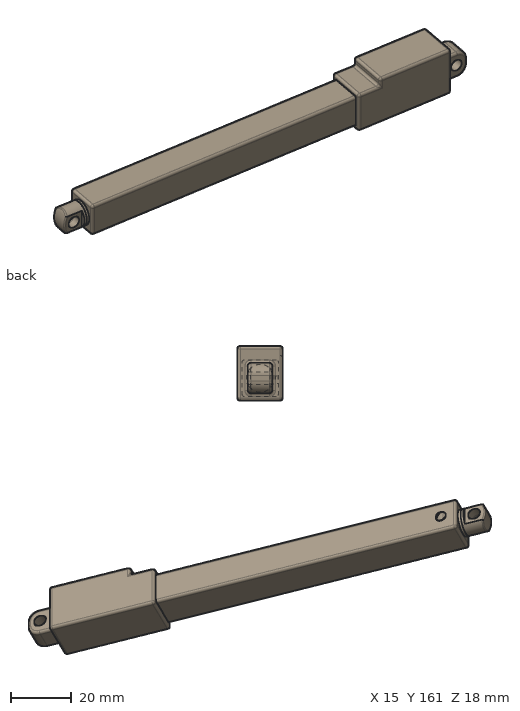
import cadquery as cq


TOTAL_LENGTH = 161.0
TUBE_FRONT = 9.0
CASE_FRONT = 115.0
STEP_Y = 123.5
CASE_BACK = 152.1

CASE_WIDTH = 15.0
CASE_HEIGHT = 18.0
CASE_BOTTOM = -CASE_WIDTH / 2
STEP_TOP = CASE_WIDTH / 2
TUBE_SIZE = 12.0
EDGE_RADIUS = 1.0

SIDE_HOLE_Y = 14.5
SIDE_HOLE_DIAMETER = 3.5
SIDE_HOLE_DEPTH = 0.2
SIDE_HOLE_FLAT_END = 13.8
SIDE_HOLE_FLOOR_RADIUS = 3.9

COLLAR_LENGTH = 1.0

LUG_WIDTH = 8.0
LUG_HEIGHT = 10.0
LUG_CORNER_RADIUS = 4.0
LUG_EDGE_RADIUS = 1.0
LUG_BASE_RADIUS = 1.0
LUG_HOLE_Y = TOTAL_LENGTH - 4.3

ROD_DIAMETER = 9.2
ROD_FLAT_WIDTH = 6.3
ROD_FLAT_LENGTH = 7.1
ROD_TIP_RADIUS = 8.0
ROD_TIP_EDGE_RADIUS = 0.5
ROD_HOLE_Y = 3.9
ROD_LENGTH = TUBE_FRONT - COLLAR_LENGTH
PIN_HOLE_DIAMETER = 4.2


def box_between(width, y_start, y_end, z_bottom, z_top):
    """Box centred on X = 0 between the given Y and Z limits."""
    return (
        cq.Workplane("XY")
        .box(width, y_end - y_start, z_top - z_bottom, centered=(True, False, False))
        .translate((0, y_start, z_bottom))
    )


def cross_hole(y, diameter):
    """Cutter along X, through the full width, crossing the rod axis at the given Y."""
    return (
        cq.Workplane("YZ")
        .center(y, 0)
        .circle(diameter / 2)
        .extrude(CASE_WIDTH / 2, both=True)
    )


def make_case():
    """Gear case, lower at the tube end, with every edge rounded."""
    profile = [
        (CASE_FRONT, CASE_BOTTOM),
        (CASE_BACK, CASE_BOTTOM),
        (CASE_BACK, CASE_BOTTOM + CASE_HEIGHT),
        (STEP_Y, CASE_BOTTOM + CASE_HEIGHT),
        (STEP_Y, STEP_TOP),
        (CASE_FRONT, STEP_TOP),
    ]
    case = cq.Workplane("YZ").polyline(profile).close().extrude(CASE_WIDTH / 2, both=True)
    step_corner = cq.selectors.BoxSelector(
        (-CASE_WIDTH, STEP_Y - EDGE_RADIUS, STEP_TOP - EDGE_RADIUS),
        (CASE_WIDTH, STEP_Y + EDGE_RADIUS, STEP_TOP + EDGE_RADIUS),
    )
    outer_edges = cq.selectors.SubtractSelector(cq.selectors.Selector(), step_corner)
    case = case.edges(outer_edges).fillet(EDGE_RADIUS)
    return case.edges(step_corner).edges("|X").fillet(EDGE_RADIUS)


def make_tube():
    """Square tube with rounded long edges and a rounded front rim."""
    half = TUBE_SIZE / 2
    tube = box_between(TUBE_SIZE, TUBE_FRONT, CASE_FRONT + EDGE_RADIUS, -half, half)
    return tube.edges("|Y or <Y").fillet(EDGE_RADIUS)


def make_lug():
    """Rounded rear lug."""
    half = LUG_HEIGHT / 2
    lug = box_between(LUG_WIDTH, CASE_BACK - EDGE_RADIUS, TOTAL_LENGTH, -half, half)
    lug = lug.edges("|X and >Y").fillet(LUG_CORNER_RADIUS)
    return lug.faces("<X or >X").edges("not <Y").fillet(LUG_EDGE_RADIUS)


def make_collar():
    """Short round collar on the front face of the tube."""
    return (
        cq.Workplane("XZ", origin=(0, TUBE_FRONT, 0))
        .circle(ROD_DIAMETER / 2)
        .extrude(COLLAR_LENGTH)
    )


def make_side_hole():
    """Cutter for the shallow side hole, whose floor is flat in front and curves deeper behind."""
    face_x = -TUBE_SIZE / 2
    floor_x = face_x + SIDE_HOLE_DEPTH
    curve_end_x = floor_x + SIDE_HOLE_FLOOR_RADIUS
    curve_end_y = SIDE_HOLE_FLAT_END + SIDE_HOLE_FLOOR_RADIUS
    hole = (
        cq.Workplane("YZ", origin=(face_x, SIDE_HOLE_Y, 0))
        .circle(SIDE_HOLE_DIAMETER / 2)
        .extrude(SIDE_HOLE_FLOOR_RADIUS)
    )
    floor = (
        cq.Workplane("XY", origin=(0, 0, -SIDE_HOLE_DIAMETER))
        .moveTo(floor_x, TUBE_FRONT)
        .lineTo(floor_x, SIDE_HOLE_FLAT_END)
        .radiusArc((curve_end_x, curve_end_y), SIDE_HOLE_FLOOR_RADIUS)
        .lineTo(curve_end_x, TUBE_FRONT)
        .close()
        .extrude(2 * SIDE_HOLE_DIAMETER)
    )
    return hole.cut(floor)


def make_housing():
    """Case, tube and lug in one piece, with the holes cut out."""
    base_ring = cq.selectors.BoxSelector(
        (-LUG_WIDTH, CASE_BACK - LUG_BASE_RADIUS / 2, -LUG_HEIGHT / 2 - LUG_BASE_RADIUS / 2),
        (LUG_WIDTH, CASE_BACK + LUG_BASE_RADIUS / 2, LUG_HEIGHT / 2 + LUG_BASE_RADIUS / 2),
    )
    housing = make_case().union(make_lug())
    housing = housing.edges(base_ring).fillet(LUG_BASE_RADIUS)
    housing = housing.union(make_tube()).union(make_collar())
    housing = housing.cut(make_side_hole())
    return housing.cut(cross_hole(LUG_HOLE_Y, PIN_HOLE_DIAMETER))


def make_rod():
    """Round rod with a domed, flattened and cross-drilled tip."""
    rod = cq.Workplane("XZ").circle(ROD_DIAMETER / 2).extrude(-ROD_LENGTH)
    dome = (
        cq.Workplane("YZ")
        .center(ROD_TIP_RADIUS, 0)
        .circle(ROD_TIP_RADIUS)
        .extrude(ROD_DIAMETER, both=True)
    )
    tail = box_between(ROD_DIAMETER, ROD_FLAT_LENGTH, ROD_LENGTH, -ROD_DIAMETER, ROD_DIAMETER)
    rod = rod.intersect(dome.union(tail))
    for side in (-1, 1):
        flat = box_between(ROD_DIAMETER, 0, ROD_FLAT_LENGTH, -ROD_DIAMETER, ROD_DIAMETER)
        rod = rod.cut(flat.translate((side * (ROD_FLAT_WIDTH + ROD_DIAMETER) / 2, 0, 0)))
    rod = rod.faces("<Y").edges().fillet(ROD_TIP_EDGE_RADIUS)
    return rod.cut(cross_hole(ROD_HOLE_Y, PIN_HOLE_DIAMETER))


housing = make_housing()
rod = make_rod()
result = cq.Compound.makeCompound([housing.val(), rod.val()])